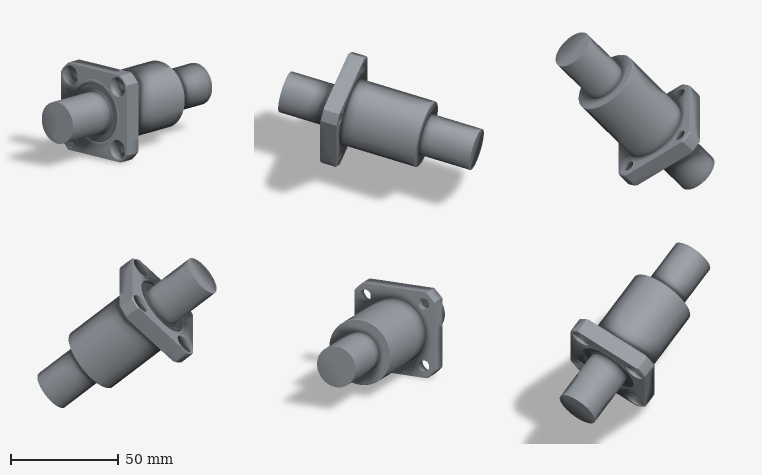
import cadquery as cq
import math


SHAFT_DIAMETER = 20.0
SHAFT_LENGTH = 95.0

SLEEVE_DIAMETER = 32.0
SLEEVE_LENGTH = 45.0
SLEEVE_CHAMFER = 0.2
SHAFT_OVERHANG = (SHAFT_LENGTH - SLEEVE_LENGTH) / 2

FLANGE_WIDTH = 42.0
FLANGE_THICKNESS = 8.0
CORNER_DIAMETER = 54.0
CORNER_CHAMFER = 0.5

BOLT_CIRCLE_DIAMETER = 43.0
BOLT_HOLE_DIAMETER = 5.5
COUNTERBORE_DIAMETER = 9.5
COUNTERBORE_DEPTH = 5.1
BOLT_COUNT = 4
FIRST_BOLT_ANGLE = 45.0

RECESS_DIAMETER = 28.5
RECESS_DEPTH = 1.5
RECESS_CHAMFER = 0.5

LIP_BASE_DIAMETER = 21.7
LIP_TIP_DIAMETER = 20.6
LIP_HEIGHT = (LIP_BASE_DIAMETER - LIP_TIP_DIAMETER) / 2


def cylinder(diameter, start_y, length):
    """Cylinder on the Y axis, running toward +Y from start_y."""
    plane = cq.Workplane("XZ", origin=(0, start_y, 0))
    return plane.circle(diameter / 2).extrude(-length)


def cone(start_diameter, end_diameter, start_y, length):
    """Truncated cone on the Y axis, running toward +Y from start_y."""
    solid = cq.Solid.makeCone(
        start_diameter / 2,
        end_diameter / 2,
        length,
        pnt=cq.Vector(0, start_y, 0),
        dir=cq.Vector(0, 1, 0),
    )
    return cq.Workplane(obj=solid)


def make_flange():
    square = (
        cq.Workplane("XZ")
        .rect(FLANGE_WIDTH, FLANGE_WIDTH)
        .extrude(-FLANGE_THICKNESS)
    )
    turned_blank = cylinder(CORNER_DIAMETER, 0, FLANGE_THICKNESS).edges().chamfer(CORNER_CHAMFER)
    flange = square.intersect(turned_blank)
    sleeve_bore = cylinder(SLEEVE_DIAMETER, 0, FLANGE_THICKNESS)
    return cut_bolt_holes(flange).cut(sleeve_bore)


def cut_bolt_holes(flange):
    radius = BOLT_CIRCLE_DIAMETER / 2
    hole = cylinder(BOLT_HOLE_DIAMETER, 0, FLANGE_THICKNESS)
    counterbore = cylinder(COUNTERBORE_DIAMETER, 0, COUNTERBORE_DEPTH)
    cutter = hole.union(counterbore)
    for index in range(BOLT_COUNT):
        angle = math.radians(FIRST_BOLT_ANGLE + index * 360 / BOLT_COUNT)
        position = (radius * math.cos(angle), 0, radius * math.sin(angle))
        flange = flange.cut(cutter.translate(position))
    return flange


def make_sleeve():
    sleeve = cylinder(SLEEVE_DIAMETER, 0, SLEEVE_LENGTH).edges().chamfer(SLEEVE_CHAMFER)
    recess = cylinder(RECESS_DIAMETER, 0, RECESS_DEPTH)
    recess_mouth = cone(RECESS_DIAMETER + 2 * RECESS_CHAMFER, RECESS_DIAMETER, 0, RECESS_CHAMFER)
    lip = cone(LIP_TIP_DIAMETER, LIP_BASE_DIAMETER, RECESS_DEPTH - LIP_HEIGHT, LIP_HEIGHT)
    return sleeve.cut(recess).cut(recess_mouth).union(lip)


def make_shaft():
    return cylinder(SHAFT_DIAMETER, -SHAFT_OVERHANG, SHAFT_LENGTH)


result = make_flange().union(make_sleeve()).union(make_shaft())